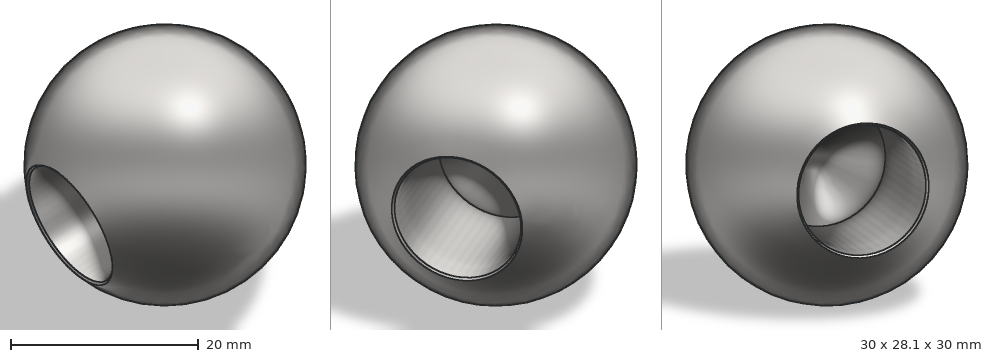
import cadquery as cq
import math

BALL_RADIUS = 15.0
RIM_DISTANCE = 13.08
CHAMFER = 0.25
BORE_DEPTH = 15.0
POINT_ANGLE = 118.0

rim_y = -RIM_DISTANCE
rim_radius = math.sqrt(BALL_RADIUS**2 - RIM_DISTANCE**2)
bore_radius = rim_radius - CHAMFER
cone_start_y = rim_y + BORE_DEPTH
cone_tip_y = cone_start_y + bore_radius / math.tan(math.radians(POINT_ANGLE / 2))


def make_knob():
    """Half section from the cone tip out along the bore and back over the ball, revolved about Y."""
    half_section = (
        cq.Workplane("XY")
        .moveTo(0, cone_tip_y)
        .lineTo(bore_radius, cone_start_y)
        .lineTo(bore_radius, rim_y + CHAMFER)
        .lineTo(rim_radius, rim_y)
        .threePointArc((BALL_RADIUS, 0), (0, BALL_RADIUS))
        .close()
    )
    return half_section.revolve(360, (0, 0, 0), (0, 1, 0))


result = make_knob()